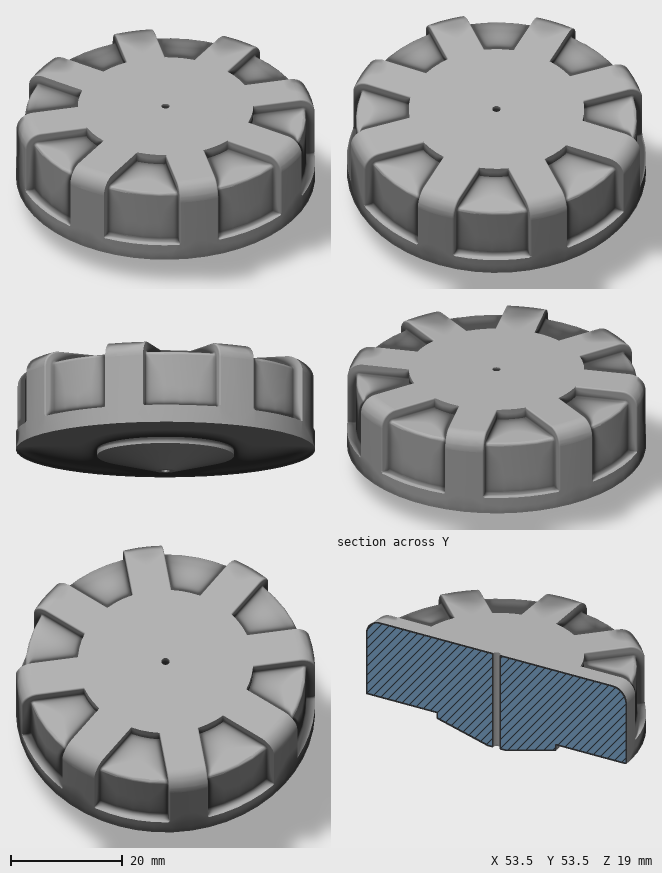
import cadquery as cq
import math

cap_diameter = 53.5
total_height = 19.0
cap_bottom = 3.9
top_round = 2.9

plug_diameter = 24.5
plug_tip_diameter = 3.5
plug_cone_top = 2.8
vent_diameter = 1.5

rib_count = 8
rib_width = 7.05
hub_radius = 15.7
drum_radius = 25.1
pocket_depth = 2.0
ledge_height = 7.0
drum_edge_round = 0.55
ledge_fillet = 0.45
rib_root_fillet = 0.25
rib_edge_round = 0.25

cap_radius = cap_diameter / 2
pocket_floor = total_height - pocket_depth
rib_half_width = rib_width / 2
rib_pitch = 360 / rib_count
clearance = 2.7


def make_envelope():
    """Plain round cap with its top edge rounded."""
    disc = cq.Workplane("XY").workplane(offset=cap_bottom).circle(cap_radius)
    return disc.extrude(total_height - cap_bottom).edges(">Z").fillet(top_round)


def make_plug():
    """Straight flange above a blunt cone."""
    profile = (
        cq.Workplane("XZ")
        .lineTo(plug_tip_diameter / 2, 0)
        .lineTo(plug_diameter / 2, plug_cone_top)
        .lineTo(plug_diameter / 2, cap_bottom)
        .lineTo(0, cap_bottom)
        .close()
    )
    return profile.revolve(360, (0, 0), (0, 1))


def make_pocket():
    """Cutting body for one pocket, centred on the +X axis."""
    outer = cap_radius + clearance
    above = total_height + clearance
    ring = (
        cq.Workplane("XZ")
        .moveTo(hub_radius, above)
        .lineTo(hub_radius, pocket_floor)
        .lineTo(drum_radius - drum_edge_round, pocket_floor)
        .radiusArc((drum_radius, pocket_floor - drum_edge_round), drum_edge_round)
        .lineTo(drum_radius, ledge_height + ledge_fillet)
        .radiusArc((drum_radius + ledge_fillet, ledge_height), -ledge_fillet)
        .lineTo(outer, ledge_height)
        .lineTo(outer, above)
        .close()
        .revolve(360, (0, 0), (0, 1))
    )
    half_angle = math.radians(rib_pitch / 2)
    apex = rib_half_width / math.sin(half_angle)
    reach = 2 * cap_radius
    spread = (reach - apex) * math.tan(half_angle)
    wedge = (
        cq.Workplane("XY")
        .polyline([(apex, 0), (reach, -spread), (reach, spread)])
        .close()
        .extrude(above)
    )
    pocket = ring.intersect(wedge)
    side_edges = cq.selectors.BoxSelector(
        (hub_radius, rib_root_fillet, 0), (cap_radius, cap_radius, total_height)
    ) + cq.selectors.BoxSelector(
        (hub_radius, -cap_radius, 0), (cap_radius, -rib_root_fillet, total_height)
    )
    return pocket.edges(side_edges).fillet(rib_root_fillet)


def make_rib_edge_trim():
    """Slivers that round the outer edges of the rib along the +X axis."""
    start = math.sqrt(hub_radius**2 - rib_half_width**2)
    bottom = ledge_height + rib_root_fillet
    length = cap_radius + clearance - start
    height = total_height - bottom
    block = cq.Workplane("XY").box(length, rib_width, height, centered=(False, True, False))
    sharp_rib = block.translate((start, 0, bottom)).intersect(make_envelope())
    outer_edges = sharp_rib.faces("|Y").edges("not(<Z or <X)")
    return sharp_rib.cut(outer_edges.fillet(rib_edge_round))


def turned(body, angle):
    """Body turned about the cap axis by an angle in degrees."""
    return body.rotate((0, 0, 0), (0, 0, 1), angle)


vent = cq.Workplane("XY").circle(vent_diameter / 2).extrude(total_height)
cap = make_envelope().union(make_plug()).cut(vent)
pocket = make_pocket()
rib_edge_trim = make_rib_edge_trim()
for index in range(rib_count):
    cap = cap.cut(turned(pocket, (index + 0.5) * rib_pitch))
for index in range(rib_count):
    cap = cap.cut(turned(rib_edge_trim, index * rib_pitch))

result = cap